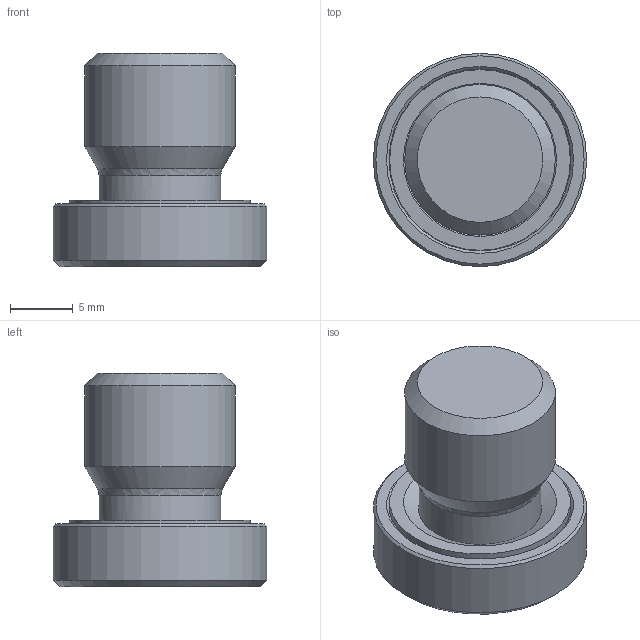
import cadquery as cq
import math

total_height = 17.0
base_radius = 17.0 / 2
base_height = 5.0
base_bottom_chamfer = 0.5
base_top_chamfer = 0.2

stem_radius = 9.7 / 2
head_radius = 12.0 / 2
head_chamfer = 1.0
head_underside_z = 9.55
underside_angle = 30.0
neck_fillet = 1.0
underside_height = (head_radius - stem_radius) / math.tan(math.radians(underside_angle))
neck_z = head_underside_z - underside_height

groove_radius = 14.5 / 2
groove_floor_z = 3.0
groove_lip_chamfer = 0.2

ring_outer_radius = 14.4 / 2
ring_inner_radius = 9.8 / 2
ring_top_z = base_height + 0.3
ring_mouth_radius = 6.1
mouth_angle = 30.0
mouth_depth = (ring_mouth_radius - ring_inner_radius) * math.tan(math.radians(mouth_angle))


def revolve_profile(points):
    """Turn a closed (radius, height) outline about the Z axis."""
    return cq.Workplane("XZ").polyline(points).close().revolve(360, (0, 0, 0), (0, 1, 0))


def make_stud():
    outline = [
        (0, 0),
        (base_radius - base_bottom_chamfer, 0),
        (base_radius, base_bottom_chamfer),
        (base_radius, base_height - base_top_chamfer),
        (base_radius - base_top_chamfer, base_height),
        (groove_radius + groove_lip_chamfer, base_height),
        (groove_radius, base_height - groove_lip_chamfer),
        (groove_radius, groove_floor_z),
        (stem_radius, groove_floor_z),
        (stem_radius, neck_z),
        (head_radius, head_underside_z),
        (head_radius, total_height - head_chamfer),
        (head_radius - head_chamfer, total_height),
        (0, total_height),
    ]
    stud_body = revolve_profile(outline)

    slab_half_height = 0.1
    neck_zone = cq.selectors.BoxSelector(
        (-base_radius, -base_radius, neck_z - slab_half_height),
        (base_radius, base_radius, neck_z + slab_half_height),
        boundingbox=True,
    )
    return stud_body.edges(neck_zone).fillet(neck_fillet)


def make_ring():
    return revolve_profile([
        (ring_inner_radius, groove_floor_z),
        (ring_outer_radius, groove_floor_z),
        (ring_outer_radius, ring_top_z),
        (ring_mouth_radius, ring_top_z),
        (ring_inner_radius, ring_top_z - mouth_depth),
    ])


stud = make_stud()
ring = make_ring()

result = cq.Compound.makeCompound([stud.val(), ring.val()])